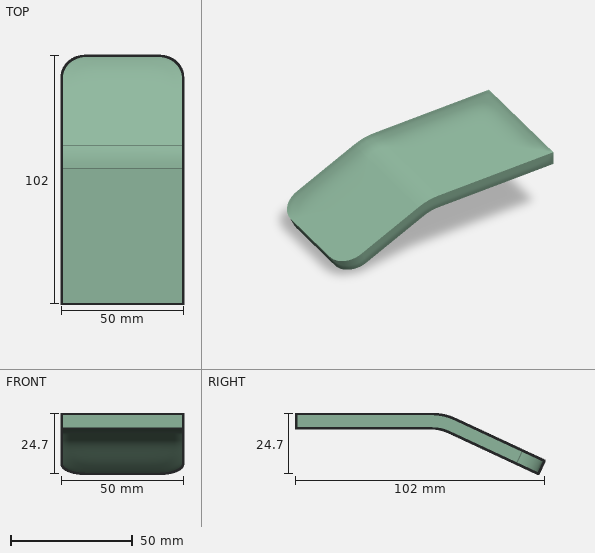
import cadquery as cq
import math

overall_length = 102.0
width = 50.0
thickness = 6.0
bend_angle = 25.0
outer_bend_radius = 22.5
leg_length = 40.6
corner_radius = 10.0

sin_bend = math.sin(math.radians(bend_angle))
cos_bend = math.cos(math.radians(bend_angle))
inner_bend_radius = outer_bend_radius - thickness
flat_length = overall_length - outer_bend_radius * sin_bend - leg_length * cos_bend


def bend_point(radius, angle):
    """Point (Y, Z) on a bend arc, with the angle measured from its top."""
    radians = math.radians(angle)
    y = flat_length + radius * math.sin(radians)
    z = radius * math.cos(radians) - outer_bend_radius
    return y, z


def along_leg(start):
    """Move from the end of the bend to the tip of the sloping leg."""
    return start[0] + leg_length * cos_bend, start[1] - leg_length * sin_bend


outer_bend_end = bend_point(outer_bend_radius, bend_angle)
inner_bend_end = bend_point(inner_bend_radius, bend_angle)
profile = (
    cq.Workplane("YZ")
    .moveTo(0, 0)
    .lineTo(flat_length, 0)
    .threePointArc(bend_point(outer_bend_radius, bend_angle / 2), outer_bend_end)
    .lineTo(*along_leg(outer_bend_end))
    .lineTo(*along_leg(inner_bend_end))
    .lineTo(*inner_bend_end)
    .threePointArc(bend_point(inner_bend_radius, bend_angle / 2), (flat_length, -thickness))
    .lineTo(0, -thickness)
    .close()
)
plate = profile.extrude(width / 2, both=True)

result = plate.faces(">Y").edges("<X or >X").fillet(corner_radius)